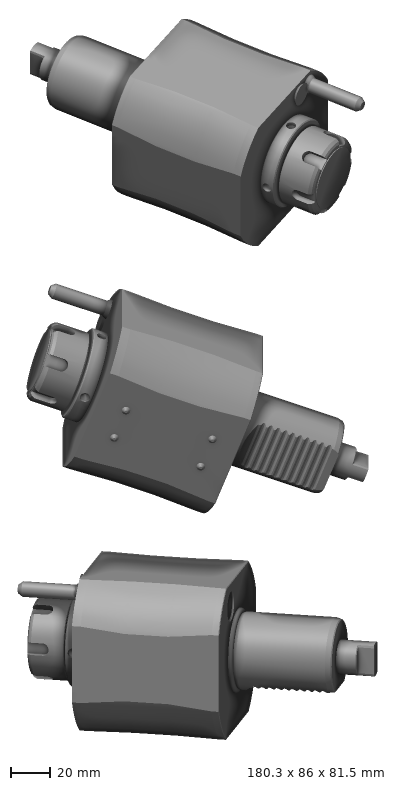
import cadquery as cq
import math


BODY_LENGTH = 76.5
BODY_WIDTH = 86.0
BODY_HEIGHT = 80.0
CORNER_DIAMETER = 95.0
CORNER_RADIUS = CORNER_DIAMETER / 2
WAIST_DIAMETER = 92.9
WAIST_RADIUS = WAIST_DIAMETER / 2
CORNER_LAND_LEFT = 3.8
CORNER_LAND_RIGHT = 4.5
BODY_CHAMFER = 0.4

POCKET_Y = 15.9
POCKET_Z = 27.8
POCKET_RIM_RADIUS = 7.8
POCKET_FLOOR_RADIUS = 7.2
POCKET_DEPTH = 0.9

SHANK_RADIUS = 20.0
SHANK_LENGTH = 53.2
SHANK_TAPER_LENGTH = 3.2
SHANK_END_RADIUS = 19.3
SHANK_END_CHAMFER = 0.5
COLLAR_RADIUS = 21.8
COLLAR_LENGTH = 2.2
COLLAR_ROUND = 2.0
RELIEF_LENGTH = 1.6
RELIEF_DEPTH = 0.5
FLAT_DEPTH = 15.7
FLAT_END = -9.0
TOOTH_COUNT = 10
TOOTH_PITCH = 4.0
FIRST_NOTCH_X = -47.5
NOTCH_DEPTH = 1.0
NOTCH_TOP_WIDTH = 3.0
NOTCH_BOTTOM_WIDTH = 0.9

DRIVE_RADIUS = 8.8
DRIVE_END = -71.8
TANG_LENGTH = 8.1
TANG_WIDTH = 8.3
TANG_EDGE_WIDTH = 7.0
TANG_FLAT_HEIGHT = 13.7
TANG_ROOT_FILLET = 0.7
DRIVE_CHAMFER = 0.45

RING_RADIUS = 24.0
RING_LENGTH = 8.1
RING_CHAMFER = 0.5
SPANNER_HOLE_OFFSET = 4.0
SPANNER_HOLE_RADIUS = 2.5
SPANNER_HOLE_DEPTH = 2.2
SPANNER_HOLE_COUNT = 4

NECK_RADIUS = 16.6
NUT_START = 85.7
NUT_DIAMETER = 42.0
NUT_RADIUS = NUT_DIAMETER / 2
NUT_CHAMFER = 0.4
NUT_BEVEL_START = 102.8
NUT_BEVEL_MIDDLE = (104.5, 20.0)
NUT_FACE_X = 105.1
NUT_FACE_RADIUS = 18.8
NUT_LIP_RADIUS = 16.6
NUT_END = 105.5
SLOT_COUNT = 6
SLOT_WIDTH = 6.5
SLOT_START = 93.6
LONG_SLOT_INDEX = 1
LONG_SLOT_START = 92.0
SLOT_FLOOR = 17.3

TUBE_Y = 23.6
TUBE_Z = 32.3
TUBE_RADIUS = 4.0
TUBE_END = 108.5
TUBE_CHAMFER_LENGTH = 2.3
TUBE_TIP_RADIUS = 2.3
BALL_RADIUS = 5.6
BALL_SINK = 1.8
SCREW_Y = 14.5
SCREW_Z = 33.2
SCREW_HEAD_RADIUS = 6.1
SCREW_BASE_RADIUS = 4.9
SCREW_HEAD_HEIGHT = 1.6

TIP_PLACES_X = (14.5, 61.3)
TIP_SPACING_Y = 16.8
TIP_BASE_RADIUS = 2.2
TIP_END_RADIUS = 0.7
TIP_HEIGHT = 1.5

OVERLAP = 1.8


def revolve_about_x(outline):
    """Revolve a closed outline drawn in XY about the X axis."""
    return outline.close().revolve(360, (0, 0, 0), (1, 0, 0))


def cylinder_x(radius, start, end, y=0, z=0):
    """Cylinder along X between two X places."""
    return cq.Workplane("YZ", origin=(start, y, z)).circle(radius).extrude(end - start)


def cone_x(radius_start, radius_end, start, end, y=0, z=0):
    """Truncated cone along X between two X places."""
    axis_point = cq.Vector(start, y, z)
    cone = cq.Solid.makeCone(radius_start, radius_end, end - start, axis_point, cq.Vector(1, 0, 0))
    return cq.Workplane(cone)


def make_body():
    block = cq.Workplane("YZ").rect(BODY_WIDTH, BODY_HEIGHT).extrude(BODY_LENGTH)
    waist_start = CORNER_LAND_LEFT
    waist_end = BODY_LENGTH - CORNER_LAND_RIGHT
    waist_middle = (waist_start + waist_end) / 2
    envelope = revolve_about_x(
        cq.Workplane("XY")
        .lineTo(0, CORNER_RADIUS - BODY_CHAMFER)
        .lineTo(BODY_CHAMFER, CORNER_RADIUS)
        .lineTo(waist_start, CORNER_RADIUS)
        .threePointArc((waist_middle, WAIST_RADIUS), (waist_end, CORNER_RADIUS))
        .lineTo(BODY_LENGTH, CORNER_RADIUS)
        .lineTo(BODY_LENGTH, 0)
    )
    block = block.faces("<X").edges().chamfer(BODY_CHAMFER)
    pocket = cone_x(POCKET_RIM_RADIUS, POCKET_FLOOR_RADIUS, 0, POCKET_DEPTH, POCKET_Y, POCKET_Z)
    return block.intersect(envelope).cut(pocket)


def make_shank():
    taper_end = -SHANK_LENGTH + SHANK_TAPER_LENGTH
    shank = revolve_about_x(
        cq.Workplane("XY")
        .moveTo(-SHANK_LENGTH, 0)
        .lineTo(-SHANK_LENGTH, SHANK_END_RADIUS - SHANK_END_CHAMFER)
        .lineTo(-SHANK_LENGTH + SHANK_END_CHAMFER, SHANK_END_RADIUS)
        .lineTo(taper_end, SHANK_RADIUS)
        .lineTo(-COLLAR_LENGTH - RELIEF_LENGTH, SHANK_RADIUS)
        .lineTo(-COLLAR_LENGTH, SHANK_RADIUS - RELIEF_DEPTH)
        .lineTo(OVERLAP, SHANK_RADIUS - RELIEF_DEPTH)
        .lineTo(OVERLAP, 0)
    )
    collar = cylinder_x(COLLAR_RADIUS, -COLLAR_LENGTH, OVERLAP).faces("<X").edges().fillet(COLLAR_ROUND)

    runout = COLLAR_RADIUS + OVERLAP - FLAT_DEPTH
    flat = (
        cq.Workplane("XZ")
        .moveTo(-SHANK_LENGTH - OVERLAP, -FLAT_DEPTH)
        .lineTo(FLAT_END, -FLAT_DEPTH)
        .lineTo(FLAT_END + runout, -FLAT_DEPTH - runout)
        .lineTo(-SHANK_LENGTH - OVERLAP, -FLAT_DEPTH - runout)
        .close()
        .extrude(COLLAR_RADIUS, both=True)
    )
    shank = shank.cut(flat).union(collar)
    for index in range(TOOTH_COUNT):
        shank = shank.cut(make_notch(FIRST_NOTCH_X + index * TOOTH_PITCH))
    return shank


def make_notch(x):
    """Trapezoidal notch between two locking teeth."""
    return (
        cq.Workplane("XZ", origin=(x, 0, -FLAT_DEPTH))
        .moveTo(-NOTCH_BOTTOM_WIDTH / 2, NOTCH_DEPTH)
        .lineTo(NOTCH_BOTTOM_WIDTH / 2, NOTCH_DEPTH)
        .lineTo(NOTCH_TOP_WIDTH / 2, 0)
        .lineTo(-NOTCH_TOP_WIDTH / 2, 0)
        .close()
        .extrude(SHANK_RADIUS, both=True)
    )


def make_drive():
    tang_root = DRIVE_END + TANG_LENGTH
    shaft = cylinder_x(DRIVE_RADIUS, tang_root, -SHANK_LENGTH + OVERLAP)
    shaft = shaft.faces("<X").edges().chamfer(DRIVE_CHAMFER)

    tang = (
        cq.Workplane("YZ", origin=(DRIVE_END, 0, 0))
        .moveTo(TANG_WIDTH / 2, -TANG_FLAT_HEIGHT / 2)
        .lineTo(TANG_WIDTH / 2, TANG_FLAT_HEIGHT / 2)
        .lineTo(TANG_EDGE_WIDTH / 2, DRIVE_RADIUS)
        .lineTo(-TANG_EDGE_WIDTH / 2, DRIVE_RADIUS)
        .lineTo(-TANG_WIDTH / 2, TANG_FLAT_HEIGHT / 2)
        .lineTo(-TANG_WIDTH / 2, -TANG_FLAT_HEIGHT / 2)
        .lineTo(-TANG_EDGE_WIDTH / 2, -DRIVE_RADIUS)
        .lineTo(TANG_EDGE_WIDTH / 2, -DRIVE_RADIUS)
        .close()
        .extrude(TANG_LENGTH + OVERLAP)
    )
    tang = tang.union(make_tang_root(1)).union(make_tang_root(-1))
    return shaft.union(tang.intersect(cylinder_x(DRIVE_RADIUS, DRIVE_END, tang_root + OVERLAP)))


def make_tang_root(side):
    """Concave fillet between one flat of the tang and the shoulder of the shaft."""
    shoulder = DRIVE_END + TANG_LENGTH
    flat = side * TANG_WIDTH / 2
    fillet_inset = TANG_ROOT_FILLET * (1 - math.sqrt(0.5))
    return (
        cq.Workplane("XY")
        .moveTo(shoulder - TANG_ROOT_FILLET, flat)
        .threePointArc(
            (shoulder - fillet_inset, flat + side * fillet_inset),
            (shoulder, flat + side * TANG_ROOT_FILLET),
        )
        .lineTo(shoulder + OVERLAP, flat + side * TANG_ROOT_FILLET)
        .lineTo(shoulder + OVERLAP, 0)
        .lineTo(shoulder - TANG_ROOT_FILLET, 0)
        .close()
        .extrude(TANG_FLAT_HEIGHT / 2, both=True)
    )


def make_ring():
    ring = cylinder_x(RING_RADIUS, BODY_LENGTH, BODY_LENGTH + RING_LENGTH).edges().chamfer(RING_CHAMFER)
    hole_bottom = RING_RADIUS - SPANNER_HOLE_DEPTH
    hole = (
        cq.Workplane("XZ", origin=(BODY_LENGTH + SPANNER_HOLE_OFFSET, 0, 0))
        .moveTo(0, RING_RADIUS + OVERLAP)
        .lineTo(SPANNER_HOLE_RADIUS, RING_RADIUS + OVERLAP)
        .lineTo(SPANNER_HOLE_RADIUS, hole_bottom)
        .lineTo(0, hole_bottom - SPANNER_HOLE_RADIUS)
        .close()
        .revolve(360, (0, 0, 0), (0, 1, 0))
    )
    for index in range(SPANNER_HOLE_COUNT):
        ring = ring.cut(hole.rotate((0, 0, 0), (1, 0, 0), index * 360 / SPANNER_HOLE_COUNT))
    return ring


def make_slot(start):
    """Round-ended spanner slot on the -Y side of the nut, open at the right end."""
    end_center = start + SLOT_WIDTH / 2
    return (
        cq.Workplane("XZ", origin=(0, -SLOT_FLOOR, 0))
        .moveTo(NUT_END, -SLOT_WIDTH / 2)
        .lineTo(end_center, -SLOT_WIDTH / 2)
        .threePointArc((start, 0), (end_center, SLOT_WIDTH / 2))
        .lineTo(NUT_END, SLOT_WIDTH / 2)
        .close()
        .extrude(NUT_RADIUS - SLOT_FLOOR + OVERLAP)
    )


def make_nut():
    nut = revolve_about_x(
        cq.Workplane("XY")
        .moveTo(NUT_START, 0)
        .lineTo(NUT_START, NUT_RADIUS - NUT_CHAMFER)
        .lineTo(NUT_START + NUT_CHAMFER, NUT_RADIUS)
        .lineTo(NUT_BEVEL_START, NUT_RADIUS)
        .lineTo(*NUT_BEVEL_MIDDLE)
        .lineTo(NUT_FACE_X, NUT_FACE_RADIUS)
        .lineTo(NUT_FACE_X, NUT_LIP_RADIUS)
        .lineTo(NUT_END, NUT_LIP_RADIUS)
        .lineTo(NUT_END, 0)
    )
    for index in range(SLOT_COUNT):
        start = LONG_SLOT_START if index == LONG_SLOT_INDEX else SLOT_START
        nut = nut.cut(make_slot(start).rotate((0, 0, 0), (1, 0, 0), index * 360 / SLOT_COUNT))
    neck = cylinder_x(NECK_RADIUS, BODY_LENGTH - OVERLAP, NUT_START + OVERLAP)
    return nut.union(neck)


def make_coolant_tube():
    ball_center = BODY_LENGTH - BALL_SINK
    ball_end = ball_center + math.sqrt(BALL_RADIUS**2 - TUBE_RADIUS**2)
    tube = revolve_about_x(
        cq.Workplane("XY")
        .moveTo(ball_center, 0)
        .lineTo(ball_center, BALL_RADIUS)
        .threePointArc(
            (ball_center + BALL_RADIUS / 2, BALL_RADIUS * math.sqrt(0.75)),
            (ball_end, TUBE_RADIUS),
        )
        .lineTo(TUBE_END - TUBE_CHAMFER_LENGTH, TUBE_RADIUS)
        .lineTo(TUBE_END, TUBE_TIP_RADIUS)
        .lineTo(TUBE_END, 0)
    ).translate((0, TUBE_Y, TUBE_Z))
    screw_end = BODY_LENGTH + SCREW_HEAD_HEIGHT
    screw = cone_x(SCREW_BASE_RADIUS, SCREW_HEAD_RADIUS, BODY_LENGTH, screw_end, SCREW_Y, SCREW_Z)
    return tube.union(screw)


def make_screw_tip(x, y):
    """Blunt cone pointing down from the underside of the body."""
    base = cq.Vector(x, y, -BODY_HEIGHT / 2)
    tip = cq.Solid.makeCone(TIP_BASE_RADIUS, TIP_END_RADIUS, TIP_HEIGHT, base, cq.Vector(0, 0, -1))
    return cq.Workplane(tip)


result = make_body().union(make_shank()).union(make_drive())
result = result.union(make_ring()).union(make_nut()).union(make_coolant_tube())
for tip_x in TIP_PLACES_X:
    for tip_y in (-TIP_SPACING_Y / 2, TIP_SPACING_Y / 2):
        result = result.union(make_screw_tip(tip_x, tip_y))